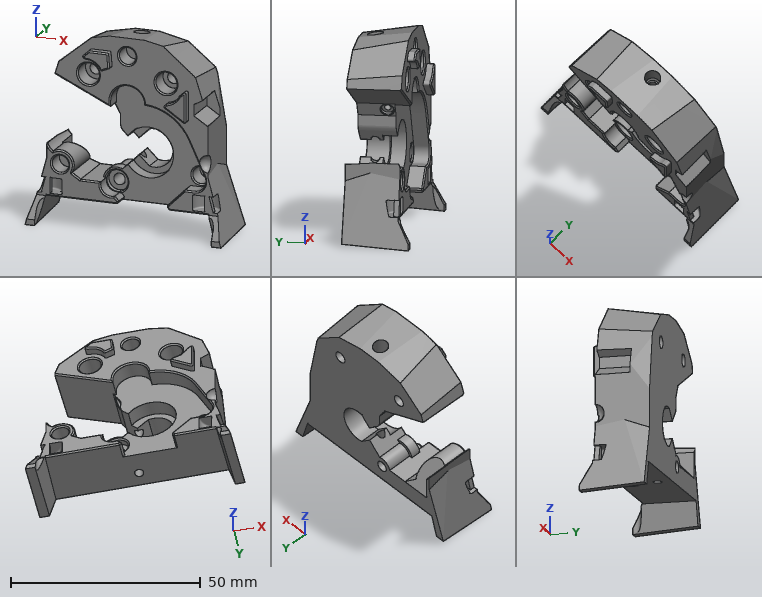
import cadquery as cq
import math

DEPTH = 14.75
FOOT_REACH = 3.1
HEIGHT = 54.0
FOOT_HALF_SPAN = 27.7
BASE_Z = 7.65
RECESS_DEPTH = 4.5
BORE_STEP_Y = 8.5
EDGE_CHAMFER = 0.4
CLEAR = 33.2

LEG_THICKNESS = 2.6
LEG_SLOPE = 0.272
LEG_BOTTOM_RISE = 1.15
FOOT_TIP_HEIGHT = 1.6
COVE_RADIUS = 1.55
COVE_X = 23.4
COVE_Y = -1.9
SIDE_X_FRONT = 22.8
SIDE_X_BACK = 22.35
SIDE_BOTTOM_Z = 13.3
SIDE_TOP_Z = 34.5
BASE_HALF_WIDTH = 24.35

BORE_AT = (4.3, 21.5)
BORE_RADIUS = 5.3
BORE_STEP_RADIUS = 7.05
BORE_MOUTH_HALF = 2.3
NOSE_AT = (0.0, 35.9)
NOSE_RADIUS = 4.8
SWEEP_RADIUS = 14.4
SCREW_X = 10.95
SCREW_Z = 42.75
UPPER_SCREW_HOLE = 3.4
LOWER_SCREW_AT = (-4.65, 12.5)
LOWER_SCREW_HOLE = 3.2
SCREW_HEAD = 6.0
UPPER_HEAD_DEPTH = 5.55
LOWER_HEAD_DEPTH = 1.9
SCREW_BOSS_RADIUS = 3.0
SCREW_COLLAR_RADIUS = 3.9
SCREW_COLLAR_LENGTH = 2.95
INSERT_HOLE = 4.7
INSERT_DEPTH = 5.55
INSERT_X = 19.0
INSERT_Z = 16.85
TOP_INSERT_Z = 48.95
INSERT_BOSS_RADIUS = 3.9
INSERT_BOSS_LENGTH = 6.65
FLOOR_Z = 13.25

PATH_Y = 10.7
PATH_HOLE = 2.4
TUBE_HOLE = 4.2
TUBE_SEAT_HOLE = 3.2
TUBE_DEPTH = 7.75
SLANT_HOLE = 3.4
SLANT_PILOT = 1.7
SLANT_CHAMFER = 0.2
SLANT_Y = 6.7
SLANT_DEPTH = 1.0
SLANT_PILOT_DEPTH = 4.45

PAD_HEIGHT = 2.15
PAD_CORNER = 0.45

NOTCH_DEPTH = 9.4
DIMPLE_RADIUS = 2.4
DIMPLE_Z = 21.7

TIE_X = 22.35
TIE_OUTER = 3.95
TIE_CORNER = 0.45
TIE_Z = 8.4
TIE_HEIGHT = 4.4
TIE_POST_X = 21.85
TIE_POST_BOTTOM = 2.45
TIE_POST_DEPTH = 1.4


def on_front(y):
    """Workplane facing -Y at depth y, with local axes X and Z."""
    return cq.Workplane("XZ", origin=(0, y, 0))


def rod(at, radius, y_start, y_end):
    """Cylinder along Y."""
    return on_front(y_start).center(*at).circle(radius).extrude(y_start - y_end)


def ring_point(center, radius, degrees):
    angle = math.radians(degrees)
    return (center[0] + radius * math.cos(angle), center[1] + radius * math.sin(angle))


def hole(at, diameter, y_start, y_end):
    """Round hole along Y with a chamfered rim at its front end."""
    radius = diameter / 2
    cone = cq.Solid.makeCone(
        radius + EDGE_CHAMFER, radius, EDGE_CHAMFER, cq.Vector(at[0], y_start, at[1]), cq.Vector(0, 1, 0)
    )
    return rod(at, radius, y_start, y_end).union(cq.Workplane(cone))


def beyond_plane(a, b, c, outside):
    """Large block on the far side of the plane through a, b and c, where the point outside lies."""
    origin = cq.Vector(*a)
    along = cq.Vector(*b) - origin
    normal = along.cross(cq.Vector(*c) - origin)
    if normal.dot(cq.Vector(*outside) - origin) < 0:
        normal = normal * -1
    plane = cq.Plane(origin=origin.toTuple(), xDir=along.toTuple(), normal=normal.toTuple())
    return cq.Workplane(plane).rect(4 * CLEAR, 4 * CLEAR).extrude(2 * CLEAR)


def mirrored_outline(right_half):
    """Closed outline from the points of its right half, listed from bottom to top."""
    return right_half + [(-x, z) for x, z in reversed(right_half)]


def arch():
    """Faceted arch that narrows towards the back."""
    front = [
        (BASE_HALF_WIDTH, BASE_Z),
        (SIDE_X_FRONT, SIDE_BOTTOM_Z),
        (SIDE_X_FRONT, SIDE_TOP_Z),
        (19.3, 45.35),
        (10.15, 52.95),
        (4.95, HEIGHT),
    ]
    back = [
        (BASE_HALF_WIDTH, BASE_Z),
        (SIDE_X_BACK, SIDE_BOTTOM_Z),
        (SIDE_X_BACK, SIDE_TOP_Z),
        (19.3, 43.8),
        (11.5, 50.1),
        (3.4, 51.9),
    ]
    body = (
        on_front(0)
        .polyline(mirrored_outline(front))
        .close()
        .workplane(offset=-DEPTH)
        .polyline(mirrored_outline(back))
        .close()
        .loft(ruled=True)
    )
    for side in (-1, 1):
        facet = [
            (side * 19.75, DEPTH, 42.7),
            (side * 22.5, 9.75, SIDE_TOP_Z),
            (side * SIDE_X_BACK, DEPTH, 27.7),
        ]
        body = body.cut(beyond_plane(*facet, outside=(side * CLEAR, CLEAR, SIDE_TOP_Z)))
    return body


def leg_section(side_x, sole_z):
    """Slanted parallelogram of the right leg."""
    shoulder_z = sole_z + (FOOT_HALF_SPAN - side_x) / LEG_SLOPE
    return [
        (FOOT_HALF_SPAN, sole_z),
        (side_x, shoulder_z),
        (side_x - LEG_THICKNESS, shoulder_z),
        (FOOT_HALF_SPAN - LEG_THICKNESS, sole_z),
    ]


def foot_cove():
    """Upright hollow in the inner front corner of the right foot."""
    base = cq.Workplane("XY").center(COVE_X, COVE_Y)
    round_part = base.circle(COVE_RADIUS).extrude(BASE_Z)
    straight_part = base.rect(2 * COVE_RADIUS, 2 * FOOT_REACH).extrude(BASE_Z)
    return round_part.union(straight_part.translate((0, -FOOT_REACH, 0)))


def leg():
    """Right leg: a slanted plate whose foot reaches in front of the front face."""
    side_x_toe = SIDE_X_FRONT + (SIDE_X_FRONT - SIDE_X_BACK) * FOOT_REACH / DEPTH
    plate = (
        on_front(-FOOT_REACH)
        .polyline(leg_section(side_x_toe, 0))
        .close()
        .workplane(offset=-(DEPTH + FOOT_REACH))
        .polyline(leg_section(SIDE_X_BACK, LEG_BOTTOM_RISE))
        .close()
        .loft(ruled=True)
    )
    side_profile = (
        cq.Workplane("YZ")
        .polyline(
            [
                (-FOOT_REACH, 0),
                (-FOOT_REACH, FOOT_TIP_HEIGHT),
                (0, BASE_Z),
                (0, HEIGHT),
                (DEPTH, HEIGHT),
                (DEPTH, 0),
            ]
        )
        .close()
        .extrude(CLEAR)
    )
    facet = [(22.6, 8.25, 19.4), (SIDE_X_BACK, DEPTH, 17.15), (FOOT_HALF_SPAN, DEPTH, LEG_BOTTOM_RISE)]
    back_corner = beyond_plane(*facet, outside=(CLEAR, CLEAR, 17.15))
    return plate.intersect(side_profile).cut(back_corner).cut(foot_cove())


HOOK_TIP = (-20.7, 41.7)
HOOK_SLOPE = -0.46
SLANT_WALL_X = -5.65
SLANT_WALL_END = (-3.65, 31.2)
FLOOR_LEFT = [(-13.3, FLOOR_Z), (-15.65, 14.85)]
INSERT_LEFT_AT = (-INSERT_X, INSERT_Z)
INSERT_RIGHT_AT = (INSERT_X, INSERT_Z)
RECESS_LOBE_RADIUS = 3.1
HORN_TIP = (-22.6, 22.25)


def hook_edge(x):
    """Point at x on the straight underside of the hook."""
    return (x, HOOK_TIP[1] + HOOK_SLOPE * (x - HOOK_TIP[0]))


def close_round_insert_boss(outline):
    """Run from the floor over the left insert boss, up to the horn and out of the part."""
    horn_foot = ring_point(INSERT_LEFT_AT, INSERT_BOSS_RADIUS, 122)
    return (
        outline.lineTo(*FLOOR_LEFT[0])
        .lineTo(*FLOOR_LEFT[1])
        .threePointArc(ring_point(INSERT_LEFT_AT, INSERT_BOSS_RADIUS, 60), horn_foot)
        .threePointArc((-21.9, 20.95), HORN_TIP)
        .lineTo(-CLEAR, HORN_TIP[1])
        .close()
    )


def recess_outline(y):
    """Opening in the front layer, drawn at depth y: mouth and recess together."""
    scoop_radius = SCREW_HEAD / 2
    floor_angle = 180 - math.degrees(math.asin((FLOOR_Z - LOWER_SCREW_AT[1]) / scoop_radius))
    outline = (
        on_front(y)
        .moveTo(*hook_edge(-CLEAR))
        .lineTo(*hook_edge(-NOSE_RADIUS))
        .lineTo(-NOSE_RADIUS, NOSE_AT[1])
        .threePointArc((0, NOSE_AT[1] + NOSE_RADIUS), (NOSE_RADIUS, NOSE_AT[1]))
        .threePointArc(ring_point(BORE_AT, SWEEP_RADIUS, 60), ring_point(BORE_AT, SWEEP_RADIUS, 26))
        .lineTo(*ring_point(INSERT_RIGHT_AT, RECESS_LOBE_RADIUS, 28))
        .threePointArc(
            ring_point(INSERT_RIGHT_AT, RECESS_LOBE_RADIUS, -30),
            ring_point(INSERT_RIGHT_AT, RECESS_LOBE_RADIUS, -85),
        )
        .lineTo(16.15, 13.75)
        .lineTo(11.25, 8.85)
        .lineTo(11.25, 8.3)
        .lineTo(11.75, BASE_Z)
        .lineTo(11.75, 0)
        .lineTo(-3.05, 0)
        .lineTo(-3.05, BASE_Z)
        .lineTo(-2.5, 8.4)
        .lineTo(*ring_point(LOWER_SCREW_AT, scoop_radius, -70))
        .threePointArc(
            ring_point(LOWER_SCREW_AT, scoop_radius, -140),
            ring_point(LOWER_SCREW_AT, scoop_radius, floor_angle),
        )
    )
    return close_round_insert_boss(outline)


def mouth_outline():
    """Opening through the plate behind the recess."""
    lower_tip_z = BORE_AT[1] - BORE_MOUTH_HALF
    outline = (
        on_front(0)
        .moveTo(*hook_edge(-CLEAR))
        .lineTo(*hook_edge(SLANT_WALL_X))
        .lineTo(*SLANT_WALL_END)
        .lineTo(-3.65, 28.3)
        .threePointArc((-3.5, 27.6), (-3.05, BORE_AT[1] + BORE_MOUTH_HALF + 3.05))
        .lineTo(0, BORE_AT[1] + BORE_MOUTH_HALF)
        .lineTo(0, lower_tip_z)
        .lineTo(FLOOR_Z - lower_tip_z, FLOOR_Z)
    )
    return close_round_insert_boss(outline)


def mouth():
    """Everything removed between hook, bore and base, with a chamfered front edge."""
    front_layer = recess_outline(0).extrude(-RECESS_DEPTH)
    rim = recess_outline(EDGE_CHAMFER).extrude(EDGE_CHAMFER, taper=-45)
    through = mouth_outline().extrude(-DEPTH)
    boss = rod(LOWER_SCREW_AT, SCREW_BOSS_RADIUS, RECESS_DEPTH, DEPTH)
    collar = rod(LOWER_SCREW_AT, SCREW_COLLAR_RADIUS, RECESS_DEPTH, RECESS_DEPTH + SCREW_COLLAR_LENGTH)
    behind = through.cut(boss).cut(collar)
    return front_layer.union(rim).union(behind)


def base_edge_chamfer():
    """Chamfer along the lower front edge between the legs."""
    half_width = FOOT_HALF_SPAN - LEG_THICKNESS - LEG_SLOPE * BASE_Z
    return (
        cq.Workplane("YZ", origin=(-half_width, 0, 0))
        .polyline([(0, BASE_Z), (EDGE_CHAMFER, BASE_Z), (0, BASE_Z + EDGE_CHAMFER)])
        .close()
        .extrude(2 * half_width)
    )


def insert_boss_relief():
    """Slope that ends the left insert boss behind its hole."""
    top = INSERT_Z + INSERT_BOSS_RADIUS + 0.55
    left = -INSERT_X - 0.6 * INSERT_BOSS_RADIUS
    return (
        cq.Workplane("YZ", origin=(left, 0, 0))
        .polyline([(INSERT_BOSS_LENGTH, top), (DEPTH, FLOOR_Z), (DEPTH, top)])
        .close()
        .extrude(FLOOR_LEFT[0][0] - left)
    )


def main_bore():
    """Stepped bore that narrows to a gap at the filament path."""
    gap_top = (0, BORE_AT[1] + BORE_MOUTH_HALF)
    gap_bottom = (0, BORE_AT[1] - BORE_MOUTH_HALF)
    bore = (
        on_front(0)
        .moveTo(*gap_top)
        .lineTo(*ring_point(BORE_AT, BORE_RADIUS, 105))
        .threePointArc(ring_point(BORE_AT, BORE_RADIUS, 0), ring_point(BORE_AT, BORE_RADIUS, -105))
        .lineTo(*gap_bottom)
        .close()
        .extrude(-DEPTH)
    )
    return bore.union(rod(BORE_AT, BORE_STEP_RADIUS, RECESS_DEPTH, BORE_STEP_Y))


def screw_holes():
    cutters = []
    for x in (-SCREW_X, SCREW_X):
        cutters.append(hole((x, SCREW_Z), SCREW_HEAD, 0, UPPER_HEAD_DEPTH))
        cutters.append(rod((x, SCREW_Z), UPPER_SCREW_HOLE / 2, 0, DEPTH))
    cutters.append(hole(LOWER_SCREW_AT, SCREW_HEAD, RECESS_DEPTH, RECESS_DEPTH + LOWER_HEAD_DEPTH))
    cutters.append(rod(LOWER_SCREW_AT, LOWER_SCREW_HOLE / 2, 0, DEPTH))
    return cutters


def insert_holes():
    return [
        hole((0, TOP_INSERT_Z), INSERT_HOLE, 0, INSERT_DEPTH),
        hole(INSERT_LEFT_AT, INSERT_HOLE, 0, INSERT_DEPTH),
        hole(INSERT_RIGHT_AT, INSERT_HOLE, RECESS_DEPTH, RECESS_DEPTH + INSERT_DEPTH),
    ]


def filament_path():
    """Vertical hole with a wider tube seat that ends in a cone."""
    seat_z = HEIGHT - TUBE_DEPTH
    seat = cq.Workplane("XY", origin=(0, PATH_Y, seat_z)).circle(TUBE_HOLE / 2).extrude(CLEAR)
    path = cq.Workplane("XY", origin=(0, PATH_Y, 0)).circle(PATH_HOLE / 2).extrude(HEIGHT)
    cone_height = (TUBE_HOLE - TUBE_SEAT_HOLE) / 2
    cone = cq.Solid.makeCone(
        TUBE_SEAT_HOLE / 2, TUBE_HOLE / 2, cone_height, cq.Vector(0, PATH_Y, seat_z - cone_height)
    )
    return path.union(seat).union(cq.Workplane(cone))


def slant_hole():
    """Stepped blind hole square to the slanted wall of the mouth."""
    top = cq.Vector(SLANT_WALL_X, SLANT_Y, hook_edge(SLANT_WALL_X)[1])
    bottom = cq.Vector(SLANT_WALL_END[0], SLANT_Y, SLANT_WALL_END[1])
    wall = bottom - top
    inward = cq.Vector(-wall.z, 0, wall.x).normalized()
    middle = (top + bottom) * 0.5
    wide = cq.Solid.makeCylinder(SLANT_HOLE / 2, SLANT_DEPTH, middle, inward)
    pilot = cq.Solid.makeCylinder(SLANT_PILOT / 2, SLANT_PILOT_DEPTH, middle, inward)
    rim = cq.Solid.makeCone(SLANT_HOLE / 2 + SLANT_CHAMFER, SLANT_HOLE / 2, SLANT_CHAMFER, middle, inward)
    return cq.Workplane(wide).union(cq.Workplane(pilot)).union(cq.Workplane(rim))


def tie_channel():
    """Round pocket in the right front corner, around a post that leans like the leg."""
    pocket = (
        cq.Workplane("XY", origin=(TIE_X, 0, TIE_Z))
        .circle(TIE_OUTER)
        .extrude(TIE_HEIGHT)
        .edges()
        .fillet(TIE_CORNER)
    )
    top_z = TIE_Z + TIE_HEIGHT
    post_foot_x = TIE_POST_X + TIE_POST_BOTTOM
    post = (
        on_front(0)
        .polyline(
            [
                (TIE_POST_X, TIE_Z),
                (post_foot_x, TIE_Z),
                (post_foot_x - LEG_SLOPE * TIE_HEIGHT, top_z),
                (TIE_POST_X, top_z),
            ]
        )
        .close()
        .extrude(-TIE_POST_DEPTH)
    )
    return pocket.cut(post)


def side_notch():
    """Tapered notch in the upper right edge."""
    return (
        on_front(0)
        .polyline([(18.8, 37.75), (21.25, 39.2), (25.45, 39.2), (25.45, 32.2), (22.7, 32.2), (18.8, 34.7)])
        .close()
        .extrude(-NOTCH_DEPTH)
    )


def side_dimple():
    """Round hollow in the lower right edge."""
    return cq.Workplane("XY").sphere(DIMPLE_RADIUS).translate((SIDE_X_FRONT, 0, DIMPLE_Z))


def pad(outline):
    """Raised pad with rounded corners and a chamfered top."""
    return outline.extrude(PAD_HEIGHT).edges("|Y").fillet(PAD_CORNER).faces("<Y").chamfer(EDGE_CHAMFER)


def left_pad():
    screw_at = (-SCREW_X, SCREW_Z)
    radius = 4.65
    return pad(
        on_front(0)
        .moveTo(-12.3, 47.85)
        .lineTo(-10.15, 49.85)
        .lineTo(-4.6, 49.85)
        .lineTo(-4.25, 45.6)
        .lineTo(*ring_point(screw_at, radius, 23))
        .threePointArc(ring_point(screw_at, radius, 55), ring_point(screw_at, radius, 90))
        .close()
    )


def right_pad():
    screw_at = (SCREW_X, SCREW_Z)
    radius = 5.15
    return pad(
        on_front(0)
        .moveTo(17.3, 41.85)
        .lineTo(17.3, 32.55)
        .lineTo(10.85, 36.75)
        .lineTo(*ring_point(screw_at, radius, -80))
        .threePointArc(ring_point(screw_at, radius, -55), ring_point(screw_at, radius, -28))
        .close()
    )


def make_housing():
    right_leg = leg()
    body = arch().union(right_leg).union(right_leg.mirror("YZ"))
    body = body.cut(mouth()).cut(base_edge_chamfer()).cut(insert_boss_relief()).cut(main_bore())
    for cutter in screw_holes() + insert_holes():
        body = body.cut(cutter)
    body = body.cut(filament_path()).cut(slant_hole())
    channel = tie_channel()
    body = body.cut(channel).cut(channel.mirror("YZ"))
    body = body.cut(side_notch()).cut(side_dimple())
    return body.union(left_pad()).union(right_pad())


housing = make_housing()
result = cq.Compound.makeCompound([housing.val()])